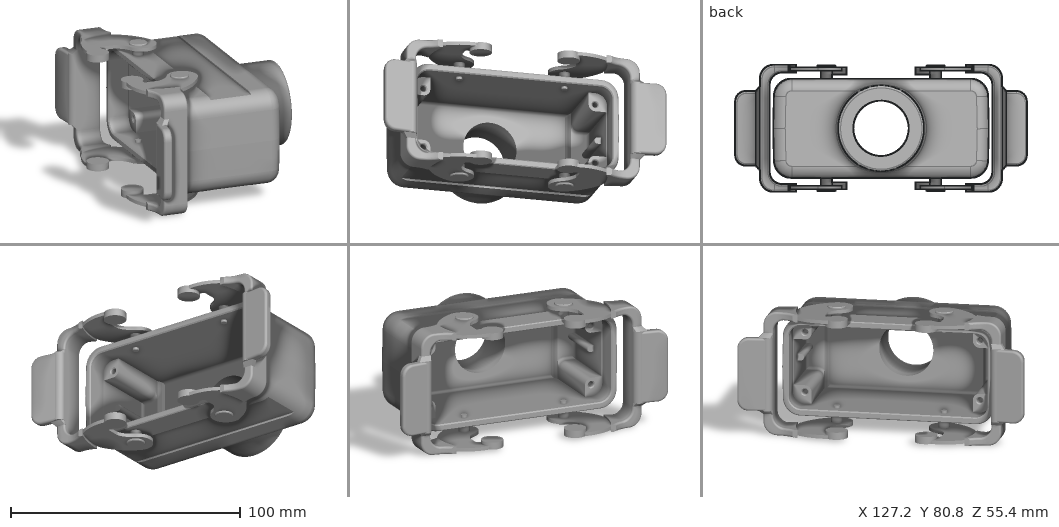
import cadquery as cq
import math


HOOD_HALF_X = 46.5
SIDE_BULGE = 0.5
HOOD_HALF_Z = 21.65
HOOD_LENGTH = 45.0
HOOD_CORNER_R = 7.75
HOOD_BACK_R = 5.2
MOUTH_OUTER_CHAMFER = 0.4
BOSS_R = 18.7
BOSS_END_Y = 61.0
BOSS_EDGE_R = 1.0
BOSS_BASE_R = 1.0
CABLE_HOLE_D = 24.0
PANEL_Y_MIN = 12.7
PANEL_Y_MAX = 31.7
PANEL_DEPTH = 0.95

MOUTH_HALF_X = 44.1
MOUTH_HALF_Z = 18.7
MOUTH_CORNER_R = 5.5
MOUTH_INNER_CHAMFER = 0.5
POST_END_Y = 9.5
CAVITY_HALF_X = 35.8
CAVITY_FLOOR_Y = 41.0
WELL_BEVEL_X = 34.8
WELL_BEVEL_Y = 40.2
WELL_FLOOR_X = 34.0
CAVITY_FLOOR_R = 1.4
POCKET_HALF_X = 43.8
POCKET_HALF_Z = 10.3
POCKET_FLOOR_Y = 38.0
POST_ROUND_R = 3.0
SCREW_X = 38.8
SCREW_Z = 13.4
SCREW_HOLE_D = 2.5
SCREW_SINK_D = 3.4
SCREW_HOLE_DEPTH = 15.0
KEY_TIP_X = 40.8
KEY_HALF_WIDTH = 1.45
KEY_START_Y = 18.0

PIVOT_X = 23.8
PIVOT_Y = 5.75
PIN_R = 2.5
PIN_TIP_R = 1.35
PIN_TIP_Z = 17.6
PIN_HEAD_R = 4.05
PIN_HEAD_Z = 27.4
PIN_HEAD_CHAMFER = 0.3

PLATE_Z_MIN = 25.0
PLATE_Z_MAX = 26.6
EYE_R = 6.8
EYE_CENTER = (-PIVOT_X, 7.1)
TIP_R = 4.9
TIP_CENTER = (-19.85, -14.92)
TIP_THICKNESS = 3.2
SHOULDER = (-39.4, 0.3)
HEEL = (-37.0, -15.3)
THROAT_X = -25.9
THROAT_FLOOR_Y = -11.7
THROAT_R = 0.8

STRAP_X_OUT = -52.75
STRAP_X_IN = -48.4
STRAP_Z_OUT = 55.41 / 2
STRAP_Z_IN = 24.2
STRAP_R_OUT = 6.0
STRAP_R_IN = 5.2
STRAP_Y_MAX = -1.9
STRAP_Y_MIN = -13.2
STRAP_EDGE_R = 0.9
ARM_END_X = -36.9
ARM_STRAIGHT_X = -46.4

HANDLE_X_OUT = -127.15 / 2
HANDLE_HALF_Z = 16.3
HANDLE_CORNER_R = 4.8
HANDLE_TILT = math.tan(math.radians(7.2))
HANDLE_THICKNESS = 3.9
HANDLE_BACK_Y = -13.7
HANDLE_BEND_X = -51.3
HANDLE_BEND_MID = (-49.2, -15.3)
HANDLE_EDGE_R = 1.0
GUSSET_HALF_Z = 18.2
GUSSET_TOP_Y = -10.9
GUSSET_OUT = 1.8


def slab_along_y(sketch, y_start, y_end):
    """Extrude a centred XZ outline from y_start toward +Y."""
    plane = cq.Workplane("XZ", origin=(0, y_start, 0))
    return sketch(plane).extrude(y_start - y_end)


def make_shell():
    edge_z = HOOD_HALF_Z
    bulge_x = HOOD_HALF_X + SIDE_BULGE
    block = (
        cq.Workplane("XZ")
        .moveTo(-HOOD_HALF_X, -edge_z)
        .lineTo(HOOD_HALF_X, -edge_z)
        .lineTo(bulge_x, 0)
        .lineTo(HOOD_HALF_X, edge_z)
        .lineTo(-HOOD_HALF_X, edge_z)
        .lineTo(-bulge_x, 0)
        .close()
        .extrude(-HOOD_LENGTH)
    )
    block = block.edges("|Y and (>Z or <Z)").fillet(HOOD_CORNER_R)
    block = block.faces(">Y").edges().fillet(HOOD_BACK_R)
    block = block.faces("<Y").edges().chamfer(MOUTH_OUTER_CHAMFER)
    boss_start_y = HOOD_LENGTH - HOOD_BACK_R
    boss = slab_along_y(lambda w: w.circle(BOSS_R), boss_start_y, BOSS_END_Y)
    boss = boss.faces(">Y").edges().fillet(BOSS_EDGE_R)
    shell = block.union(boss)
    around_base = cq.selectors.BoxSelector(
        (-BOSS_R, boss_start_y + 1, -BOSS_R),
        (BOSS_R, HOOD_LENGTH + 1, BOSS_R),
    )
    base_edges = shell.edges(around_base).edges("not %LINE")
    return shell.newObject(base_edges.vals()).fillet(BOSS_BASE_R)


def make_panel_recesses():
    """Shallow recesses across the +Z and -Z faces, running out into the round corners."""
    length = PANEL_Y_MAX - PANEL_Y_MIN
    middle_y = (PANEL_Y_MAX + PANEL_Y_MIN) / 2
    recess = cq.Workplane("XY").box(3 * HOOD_HALF_X, length, 2 * PANEL_DEPTH)
    recess_top = recess.translate((0, middle_y, HOOD_HALF_Z))
    return recess_top.union(recess_top.mirror("XY"))


def make_end_pocket():
    """Pocket between the two screw posts at +X, with a key rib left on its end wall."""
    post_face_x = CAVITY_HALF_X + POST_ROUND_R
    post_flank_z = POCKET_HALF_Z + POST_ROUND_R
    round_mid = POST_ROUND_R * (1 - math.sqrt(0.5))
    pocket = (
        cq.Workplane("XZ", origin=(0, POST_END_Y, 0))
        .moveTo(POCKET_HALF_X, -POCKET_HALF_Z)
        .lineTo(POCKET_HALF_X, POCKET_HALF_Z)
        .lineTo(post_face_x, POCKET_HALF_Z)
        .threePointArc(
            (CAVITY_HALF_X + round_mid, POCKET_HALF_Z + round_mid),
            (CAVITY_HALF_X, post_flank_z),
        )
        .lineTo(CAVITY_HALF_X - POST_ROUND_R, post_flank_z)
        .lineTo(CAVITY_HALF_X - POST_ROUND_R, -post_flank_z)
        .lineTo(CAVITY_HALF_X, -post_flank_z)
        .threePointArc(
            (CAVITY_HALF_X + round_mid, -POCKET_HALF_Z - round_mid),
            (post_face_x, -POCKET_HALF_Z),
        )
        .close()
        .extrude(POST_END_Y - POCKET_FLOOR_Y)
    )
    floor_edges = pocket.faces(">Y").edges("(>X or %CIRCLE) or (|X and (not <Z) and (not >Z))")
    pocket = floor_edges.fillet(CAVITY_FLOOR_R)
    key_round_x = KEY_TIP_X + KEY_HALF_WIDTH
    key = (
        cq.Workplane("XZ", origin=(0, KEY_START_Y, 0))
        .moveTo(POCKET_HALF_X, -KEY_HALF_WIDTH)
        .lineTo(key_round_x, -KEY_HALF_WIDTH)
        .threePointArc((KEY_TIP_X, 0), (key_round_x, KEY_HALF_WIDTH))
        .lineTo(POCKET_HALF_X, KEY_HALF_WIDTH)
        .close()
        .extrude(KEY_START_Y - POCKET_FLOOR_Y)
    )
    return pocket.cut(key)


def make_well():
    """Main space between the screw posts, narrowing in two bevels at its floor."""
    half_widths = [
        (CAVITY_HALF_X, 0),
        (CAVITY_HALF_X, POCKET_FLOOR_Y),
        (WELL_BEVEL_X, WELL_BEVEL_Y),
        (WELL_FLOOR_X, CAVITY_FLOOR_Y),
    ]
    mirrored = [(-x, y) for x, y in reversed(half_widths)]
    plan = cq.Workplane("XY").polyline(half_widths + mirrored).close()
    well = plan.extrude(MOUTH_HALF_Z, both=True)
    return well.edges("|X and >Y").fillet(CAVITY_FLOOR_R)


def make_cavity():
    mouth = slab_along_y(lambda w: w.rect(2 * MOUTH_HALF_X, 2 * MOUTH_HALF_Z), 0, POST_END_Y)
    mouth = mouth.edges("|Y").fillet(MOUTH_CORNER_R)
    lead_in = (
        mouth.faces("<Y").wires().toPending()
        .workplane().offset2D(MOUTH_INNER_CHAMFER)
        .extrude(-MOUTH_INNER_CHAMFER, taper=45)
    )
    pocket = make_end_pocket()
    inside = make_well().union(pocket).union(pocket.mirror("YZ"))
    return mouth.union(lead_in).union(inside)


def make_screw_holes():
    places = [(sx * SCREW_X, sz * SCREW_Z) for sx in (-1, 1) for sz in (-1, 1)]
    sink_depth = (SCREW_SINK_D - SCREW_HOLE_D) / 2
    start = cq.Workplane("XZ", origin=(0, POST_END_Y, 0)).pushPoints(places)
    holes = start.circle(SCREW_HOLE_D / 2).extrude(-SCREW_HOLE_DEPTH)
    sinks = start.circle(SCREW_SINK_D / 2).extrude(-sink_depth, taper=45)
    return holes.union(sinks)


def make_pin_holes():
    return (
        cq.Workplane("XY")
        .pushPoints([(-PIVOT_X, PIVOT_Y), (PIVOT_X, PIVOT_Y)])
        .circle(PIN_TIP_R)
        .extrude(2 * HOOD_HALF_Z, both=True)
    )


def make_hood():
    cable_hole = slab_along_y(lambda w: w.circle(CABLE_HOLE_D / 2), POST_END_Y, BOSS_END_Y)
    hood = make_shell().cut(make_panel_recesses())
    hood = hood.cut(make_cavity()).cut(cable_hole)
    return hood.cut(make_screw_holes()).cut(make_pin_holes())


def disc(center, radius, z_start, z_end):
    return cq.Workplane("XY", origin=(*center, z_start)).circle(radius).extrude(z_end - z_start)


def make_hook_plate():
    """Hooked plate on the +Z side: eye at the pivot, throat, and thick round tip."""
    throat_mid = THROAT_R * (1 - math.sqrt(0.5))
    hook = (
        cq.Workplane("XY", origin=(0, 0, PLATE_Z_MIN))
        .moveTo(-27.4, 12.85)
        .threePointArc((-34.0, 8.0), SHOULDER)
        .threePointArc((-39.5, -7.0), HEEL)
        .threePointArc((-30.8, -18.1), (-22.6, -18.75))
        .lineTo(*TIP_CENTER)
        .lineTo(-22.5, THROAT_FLOOR_Y + 0.5)
        .lineTo(-23.8, THROAT_FLOOR_Y)
        .lineTo(THROAT_X + THROAT_R, THROAT_FLOOR_Y)
        .threePointArc(
            (THROAT_X + throat_mid, THROAT_FLOOR_Y + throat_mid),
            (THROAT_X, THROAT_FLOOR_Y + THROAT_R),
        )
        .lineTo(THROAT_X, -5.0)
        .threePointArc((-24.4, -2.0), (-20.8, 1.0))
        .lineTo(*EYE_CENTER)
        .close()
        .extrude(PLATE_Z_MAX - PLATE_Z_MIN)
    )
    eye = disc(EYE_CENTER, EYE_R, PLATE_Z_MIN, PLATE_Z_MAX)
    tip = disc(TIP_CENTER, TIP_R, PLATE_Z_MAX - TIP_THICKNESS, PLATE_Z_MAX)
    return hook.union(eye).union(tip)


def make_pin():
    pivot = (-PIVOT_X, PIVOT_Y)
    tip = disc(pivot, PIN_TIP_R, PIN_TIP_Z, HOOD_HALF_Z)
    shank = disc(pivot, PIN_R, HOOD_HALF_Z, PLATE_Z_MIN)
    head = disc(pivot, PIN_HEAD_R, PLATE_Z_MIN, PIN_HEAD_Z)
    head = head.faces(">Z").edges().chamfer(PIN_HEAD_CHAMFER)
    return tip.union(shank).union(head)


def tangent_arc_middle(start, end):
    """Middle point of an arc that leaves start along X and curves away to end."""
    run = end[0] - start[0]
    drop = end[1] - start[1]
    radius = (run**2 + drop**2) / (2 * drop)
    half_turn = math.atan2(drop, run)
    return (
        start[0] + radius * math.sin(half_turn),
        start[1] + radius * (1 - math.cos(half_turn)),
    )


def make_strap():
    """U-shaped strap around the hood's end, its two arms flaring into the plates."""
    depth = 20.0

    def u_block(x_start, half_z, corner_r):
        length = ARM_END_X - x_start
        block = cq.Workplane("XY").box(length, depth, 2 * half_z, centered=(False, True, True))
        block = block.edges("|Y and <X").fillet(corner_r)
        return block.translate((x_start, -depth / 2 + 1, 0))

    band = u_block(STRAP_X_OUT, STRAP_Z_OUT, STRAP_R_OUT)
    band = band.cut(u_block(STRAP_X_IN, STRAP_Z_IN, STRAP_R_IN))
    upper_flare_end = (-40.3, -0.3)
    lower_flare_end = (-39.3, -15.4)
    lower_flare_mid = tangent_arc_middle((ARM_STRAIGHT_X, STRAP_Y_MIN), lower_flare_end)
    side_profile = (
        cq.Workplane("XY")
        .moveTo(STRAP_X_OUT, STRAP_Y_MIN)
        .lineTo(STRAP_X_OUT, STRAP_Y_MAX)
        .lineTo(ARM_STRAIGHT_X, STRAP_Y_MAX)
        .tangentArcPoint(upper_flare_end, relative=False)
        .lineTo(-39.8, -0.9)
        .threePointArc((-39.2, -8.2), HEEL)
        .lineTo(*lower_flare_end)
        .threePointArc(lower_flare_mid, (ARM_STRAIGHT_X, STRAP_Y_MIN))
        .close()
        .extrude(2 * STRAP_Z_OUT, both=True)
    )
    strap = band.intersect(side_profile)
    long_edges = cq.selectors.BoxSelector(
        (STRAP_X_OUT - 1, STRAP_Y_MIN - 1, -1),
        (STRAP_X_IN + 1, STRAP_Y_MAX + 1, 1),
    )
    return strap.edges(long_edges).fillet(STRAP_EDGE_R)


def make_handle():
    """Tilted grip tab that bends out of the strap's -Y edge."""
    strap_run = STRAP_X_OUT - HANDLE_X_OUT
    bend_y = HANDLE_BACK_Y - HANDLE_THICKNESS + HANDLE_TILT * (HANDLE_BEND_X - HANDLE_X_OUT)
    root_y = HANDLE_BACK_Y + HANDLE_TILT * strap_run
    grip = (
        cq.Workplane("XY", origin=(0, 0, -HANDLE_HALF_Z))
        .moveTo(STRAP_X_IN, root_y)
        .lineTo(STRAP_X_OUT, root_y)
        .lineTo(HANDLE_X_OUT, HANDLE_BACK_Y)
        .lineTo(HANDLE_X_OUT, HANDLE_BACK_Y - HANDLE_THICKNESS)
        .lineTo(HANDLE_BEND_X, bend_y)
        .threePointArc(HANDLE_BEND_MID, (STRAP_X_IN, STRAP_Y_MIN))
        .close()
        .extrude(2 * HANDLE_HALF_Z)
    )
    grip = grip.edges("<X and (not |Z)").fillet(HANDLE_CORNER_R)
    grip = grip.faces("<X").edges("|Z").fillet(HANDLE_EDGE_R)
    gusset_low_y = STRAP_Y_MIN - GUSSET_OUT
    gusset_y = root_y - HANDLE_TILT * GUSSET_OUT
    gusset = (
        cq.Workplane("XY", origin=(0, 0, -GUSSET_HALF_Z))
        .moveTo(STRAP_X_OUT, GUSSET_TOP_Y)
        .lineTo(STRAP_X_OUT - GUSSET_OUT, gusset_y)
        .lineTo(STRAP_X_OUT - GUSSET_OUT, gusset_low_y)
        .lineTo(HANDLE_BEND_MID[0], gusset_low_y)
        .lineTo(STRAP_X_IN, STRAP_Y_MIN)
        .lineTo(STRAP_X_IN, GUSSET_TOP_Y)
        .close()
        .extrude(2 * GUSSET_HALF_Z)
    )
    outline = (
        cq.Workplane("XZ")
        .polyline([
            (STRAP_X_IN, GUSSET_HALF_Z),
            (STRAP_X_OUT, GUSSET_HALF_Z),
            (STRAP_X_OUT - GUSSET_OUT, HANDLE_HALF_Z),
            (STRAP_X_OUT - GUSSET_OUT, -HANDLE_HALF_Z),
            (STRAP_X_OUT, -GUSSET_HALF_Z),
            (STRAP_X_IN, -GUSSET_HALF_Z),
        ])
        .close()
        .extrude(-2 * STRAP_Y_MIN)
    )
    taper_down = (
        cq.Workplane("YZ", origin=(STRAP_X_OUT - GUSSET_OUT, 0, 0))
        .polyline([
            (GUSSET_TOP_Y, GUSSET_HALF_Z),
            (STRAP_Y_MIN, GUSSET_HALF_Z),
            (gusset_low_y, HANDLE_HALF_Z),
            (gusset_low_y, -HANDLE_HALF_Z),
            (STRAP_Y_MIN, -GUSSET_HALF_Z),
            (GUSSET_TOP_Y, -GUSSET_HALF_Z),
        ])
        .close()
        .extrude(STRAP_X_IN - STRAP_X_OUT + GUSSET_OUT)
    )
    gusset = gusset.intersect(outline).intersect(taper_down)
    return grip.union(gusset)


def make_lever():
    side = make_hook_plate().union(make_pin())
    return make_strap().union(make_handle()).union(side).union(side.mirror("XY"))


hood = make_hood()
lever_left = make_lever()
levers = [lever_left, lever_left.mirror("YZ")]

result = cq.Compound.makeCompound([hood.val(), *[lever.val() for lever in levers]])